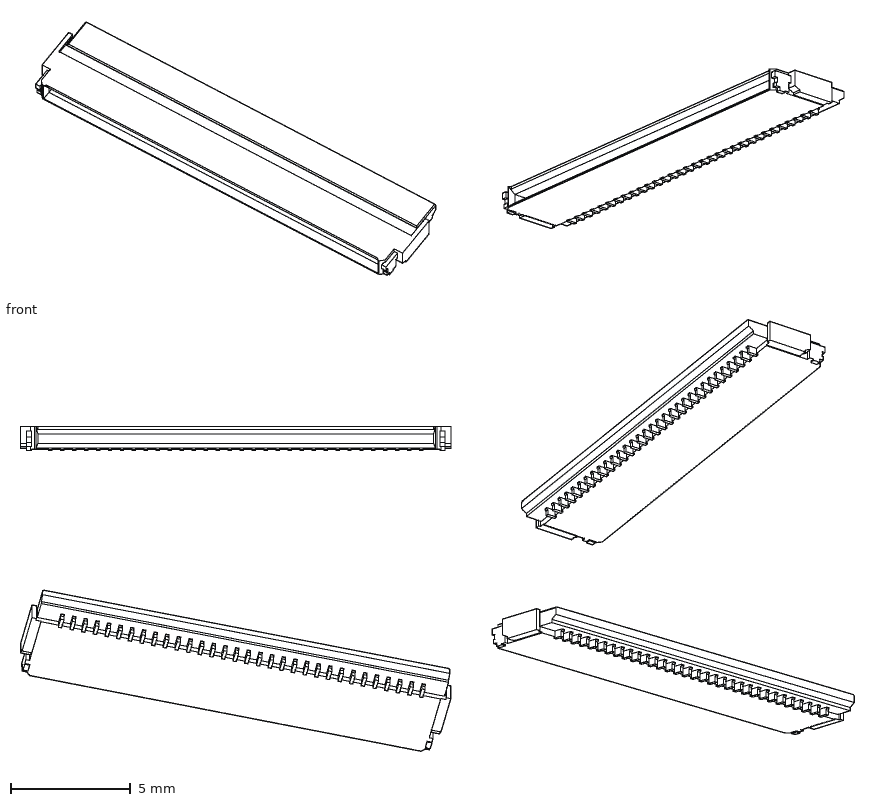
import cadquery as cq

LENGTH = 18.0
DEPTH = 3.8
HEIGHT = 1.0
FRONT = -DEPTH / 2
REAR = DEPTH / 2

BODY_BOTTOM = 0.05
BODY_REAR = 0.92
NOSE_WIDTH = 17.17
CORNER_CHAMFER = 0.18

WING_REAR = 1.0
WING_FRONT = -1.03
WING_BOTTOM = 0.09
WING_UNDERCUT_TOP = 0.3
WING_UNDERCUT_BOTTOM = 0.18
WING_UNDERCUT_REAR = -0.75
RECESS_WIDTH = 17.6
RECESS_FRONT = -0.05
RECESS_FLOOR = 0.88

MOUTH_WIDTH = 16.52
MOUTH_FLOOR = 0.3
MOUTH_CEILING = 0.68
MOUTH_DEPTH = 1.62
FUNNEL_WIDTH = 16.7
FUNNEL_FLOOR = 0.1
FUNNEL_CEILING = 0.99
FUNNEL_DEPTH = 0.27
LIP_SETBACK = 0.09
LIP_WIDTH = FUNNEL_WIDTH - 2 * LIP_SETBACK

ACTUATOR_WIDTH = 17.5
ACTUATOR_FRONT = 0.47
ACTUATOR_TOP = 0.95
ACTUATOR_BOTTOM = 0.3
ACTUATOR_CHAMFER = 0.05
ACTUATOR_TAIL_BOTTOM = 0.61
ACTUATOR_HEEL = 1.65
ACTUATOR_HEEL_TOP = 0.45

CONTACT_COUNT = 32
CONTACT_PITCH = 0.5
CONTACT_WIDTH = 0.15
CONTACT_REAR = 1.33
CONTACT_TAIL_REAR = 1.28
CONTACT_FRONT = 0.85
CONTACT_BEND_TOP = 0.27
CONTACT_BEND_BOTTOM = 0.22

CLIP_WIDTH = 17.5
CLIP_TOP = 0.83
CLIP_FRONT = FRONT
CLIP_NECK_REAR = -1.13
CLIP_SHOULDER_BOTTOM = 0.5
CLIP_NOTCH_TOP = 0.55
CLIP_NOTCH_BOTTOM = 0.35
CLIP_NOTCH_Y = -1.76
CLIP_LIP_Y = -1.82
CLIP_LIP_BOTTOM = 0.16
FOOT_REAR = -1.33
FOOT_FRONT = -1.64

OVERLAP = 0.05


def block(width, y_front, y_rear, z_bottom, z_top):
    """Box centred on X = 0 between the given Y and Z limits."""
    near_corner = (-width / 2, y_front, z_bottom)
    box = cq.Workplane("XY").box(width, y_rear - y_front, z_top - z_bottom, centered=False)
    return box.translate(near_corner)


def side_profile(points, width, x_centre=0.0):
    """Prism of a (Y, Z) outline, extruded along X about x_centre."""
    prism = cq.Workplane("YZ").polyline(points).close().extrude(width / 2, both=True)
    return prism.translate((x_centre, 0, 0))


def make_housing():
    nose = block(NOSE_WIDTH, FRONT, BODY_REAR, BODY_BOTTOM, HEIGHT)
    nose = nose.edges("|Z and <Y").chamfer(CORNER_CHAMFER)
    wings = side_profile(
        [
            (WING_REAR, WING_BOTTOM),
            (WING_REAR, HEIGHT),
            (WING_FRONT, HEIGHT),
            (WING_FRONT, WING_UNDERCUT_TOP),
            (WING_UNDERCUT_REAR, WING_UNDERCUT_BOTTOM),
            (WING_UNDERCUT_REAR, WING_BOTTOM),
        ],
        LENGTH,
    )
    between_wings = block(RECESS_WIDTH, BODY_REAR, WING_REAR, 0, HEIGHT)
    recess = block(RECESS_WIDTH, RECESS_FRONT, BODY_REAR, RECESS_FLOOR, HEIGHT)
    return nose.union(wings).cut(between_wings).cut(recess)


def make_mouth():
    """Cable cavity with a tapered entry on all four sides."""
    cavity = block(MOUTH_WIDTH, FRONT, FRONT + MOUTH_DEPTH, MOUTH_FLOOR, MOUTH_CEILING)
    outer_centre = (FUNNEL_FLOOR + FUNNEL_CEILING) / 2
    inner_centre = (MOUTH_FLOOR + MOUTH_CEILING) / 2
    funnel = (
        cq.Workplane("XZ", origin=(0, FRONT, 0))
        .center(0, outer_centre)
        .rect(FUNNEL_WIDTH, FUNNEL_CEILING - FUNNEL_FLOOR)
        .workplane(offset=-FUNNEL_DEPTH)
        .center(0, inner_centre - outer_centre)
        .rect(MOUTH_WIDTH, MOUTH_CEILING - MOUTH_FLOOR)
        .loft(ruled=True)
    )
    return cavity.union(funnel)


def make_lip_setback():
    """Space in front of the upper lip, with mitred ends, open to the top."""
    plan = [
        (-FUNNEL_WIDTH / 2, FRONT),
        (FUNNEL_WIDTH / 2, FRONT),
        (LIP_WIDTH / 2, FRONT + LIP_SETBACK),
        (-LIP_WIDTH / 2, FRONT + LIP_SETBACK),
    ]
    lip_base = cq.Workplane("XY", origin=(0, 0, MOUTH_CEILING))
    return lip_base.polyline(plan).close().extrude(HEIGHT - MOUTH_CEILING)


def make_actuator():
    actuator = side_profile(
        [
            (ACTUATOR_FRONT, ACTUATOR_BOTTOM),
            (ACTUATOR_FRONT, ACTUATOR_TOP),
            (REAR, ACTUATOR_TOP),
            (REAR, ACTUATOR_TAIL_BOTTOM),
            (ACTUATOR_HEEL, ACTUATOR_HEEL_TOP),
            (ACTUATOR_HEEL, ACTUATOR_BOTTOM),
        ],
        ACTUATOR_WIDTH,
    )
    top_edges = actuator.faces(">Z").edges("|Y or <Y")
    return top_edges.chamfer(ACTUATOR_CHAMFER)


def make_contact(x_centre):
    return side_profile(
        [
            (CONTACT_REAR, ACTUATOR_BOTTOM + OVERLAP),
            (CONTACT_REAR, CONTACT_BEND_TOP),
            (CONTACT_TAIL_REAR, CONTACT_BEND_BOTTOM),
            (CONTACT_TAIL_REAR, 0),
            (CONTACT_FRONT, 0),
            (CONTACT_FRONT, ACTUATOR_BOTTOM + OVERLAP),
        ],
        CONTACT_WIDTH,
        x_centre,
    )


def make_clip(side):
    """Solder clip on one flank of the nose; side is -1 or +1."""
    inner_x = NOSE_WIDTH / 2 - OVERLAP
    thickness = CLIP_WIDTH / 2 - inner_x
    return side_profile(
        [
            (WING_FRONT + OVERLAP, CLIP_TOP),
            (CLIP_FRONT, CLIP_TOP),
            (CLIP_FRONT, CLIP_NOTCH_TOP),
            (CLIP_NOTCH_Y, CLIP_NOTCH_TOP),
            (CLIP_NOTCH_Y, CLIP_NOTCH_BOTTOM),
            (CLIP_LIP_Y, CLIP_NOTCH_BOTTOM),
            (CLIP_LIP_Y, CLIP_LIP_BOTTOM),
            (FOOT_FRONT, CLIP_LIP_BOTTOM),
            (FOOT_FRONT, 0),
            (FOOT_REAR, 0),
            (FOOT_REAR, BODY_BOTTOM),
            (CLIP_NECK_REAR, BODY_BOTTOM),
            (CLIP_NECK_REAR, CLIP_SHOULDER_BOTTOM),
            (WING_FRONT + OVERLAP, CLIP_SHOULDER_BOTTOM),
        ],
        thickness,
        side * (inner_x + thickness / 2),
    )


result = make_housing().cut(make_mouth()).cut(make_lip_setback()).union(make_actuator())
for side in (-1, 1):
    result = result.union(make_clip(side))
for index in range(CONTACT_COUNT):
    result = result.union(make_contact((index - (CONTACT_COUNT - 1) / 2) * CONTACT_PITCH))